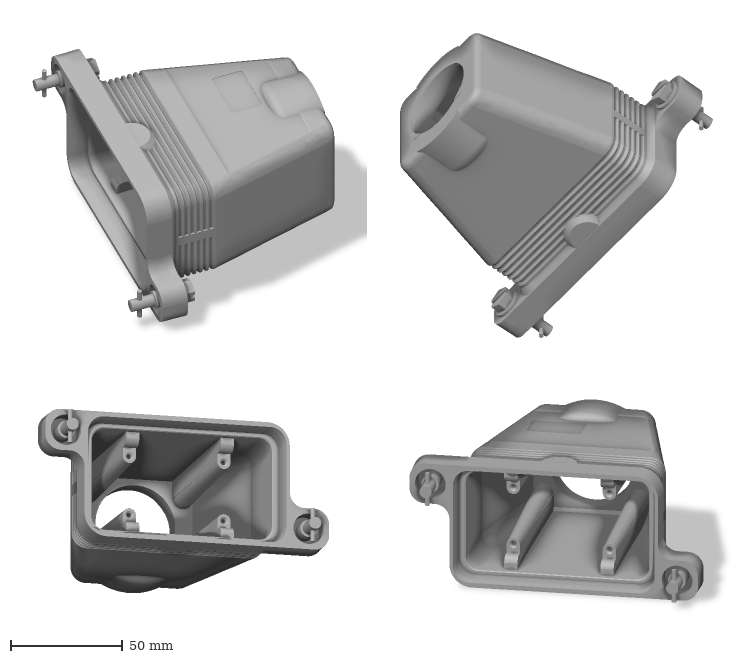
import cadquery as cq
import math

overlap = 0.7

hood_end = 99.9
hood_bend = 34.8
hood_half_x = 44.7
hood_half_z = 26.4
hood_end_half_x = 27.5
hood_corner = 6.9
hood_end_fillet = 3.2

overall_x = 132.5
flange_height = 12.2
flange_half_x = 48.0
flange_half_z = 29.0
flange_corner = 10.6
ear_corner = 7.2
ear_inner_corner = 6.6
ear_width = 19.3
flange_draft = 1.0
skirt_height = 2.8
skirt_half_x = 47.5
skirt_half_z = 28.8
skirt_corner = hood_corner + skirt_half_x - hood_half_x

groove_count = 6
groove_first = 32.6
groove_last = 17.6
groove_pitch = (groove_first - groove_last) / (groove_count - 1)
groove_width = 2.5
groove_floor_width = 0.8
groove_depth = 1.0
groove_gap = 4.8

panel_depth = 0.4
panel_start = 44.4
panel_end = 88.1
panel_step = 1.0
label_x, label_y = -11.5, 67.8
label_length, label_height = 24.9, 14.8
label_corner = 1.3
label_depth = 0.3

entry_radius = 18.5
entry_pad_x = 32.6
entry_pad_z = 28.4
entry_pad_height = 0.4
boss_radius = flange_half_z
boss_start = 76.6
boss_edge_fillet = 5.7
boss_width = 29.2

stop_radius = 8.2
stop_base_radius = 11.0
stop_top_z = 28.8
stop_base_z = stop_top_z - (stop_base_radius - stop_radius)

mouth_wall = [(0, 46.1, 26.6), (3.0, 45.6, 26.2), (5.8, 45.3, 26.0), (8.7, 44.8, 25.5)]
mouth_corner = 7.4
cavity_rim_y, cavity_rim_z = 9.3, 23.5
cavity_bend_y = 39.8
cavity_floor_y, cavity_floor_z = 90.1, 21.3
cavity_slope = (cavity_rim_z - cavity_floor_z) / (cavity_floor_y - cavity_rim_y)
cavity_bend_z = cavity_rim_z - cavity_slope * (cavity_bend_y - cavity_rim_y)
cavity_wall = [
    (mouth_wall[-1][0], 42.4, 23.8),
    (cavity_rim_y, 41.9, cavity_rim_z),
    (cavity_bend_y, 40.4, cavity_bend_z),
    (cavity_floor_y, 26.5, cavity_floor_z),
]
cavity_corner = 6.0

post_x = 22.0
post_z = 13.5
post_top = 18.3
post_top_radius = 3.0
post_base_radius = 4.6
post_web_base = 4.9
post_hole_radius = 1.0
post_sink_radius = 1.9
post_hole_depth = 10.6
tooth_top = 12.3
tooth_step = 17.5
tooth_arc_start = 16.2
tooth_arc_radius = 4.0
tooth_tip_z = 20.4

sill_height = 1.5

screw_x = 56.5
screw_z = flange_half_z - ear_width / 2
screw_recess_radius = 7.0
screw_recess_depth = 8.0
collar_radius = 4.0
collar_projection = 0.7
shaft_radius = 2.8
shaft_length = 11.8
cross_pin_radius = 1.0
cross_pin_y = -7.3
cross_pin_half_length = 7.7
washer_radius = 7.2
washer_thickness = 1.2
head_across_flats = 9.7
head_height = 4.2
head_slot = 1.6


def plane_at(y):
    """XZ plane at height y; a negative extrusion goes towards +Y."""
    return cq.Workplane("XZ", origin=(0, y, 0))


def rounded_block(y0, y1, half_x, half_z, corner):
    block = plane_at(y0).rect(2 * half_x, 2 * half_z).extrude(y0 - y1)
    return block.edges("|Y").fillet(corner)


def tapered_block(start, end, start_corner, end_corner):
    """Rounded rectangle blended between two (Y, half X, half Z) sections."""
    y0, x0, z0 = start
    y1, x1, z1 = end
    near = cq.Sketch().rect(2 * x0, 2 * z0).vertices().fillet(start_corner)
    far = cq.Sketch().rect(2 * x1, 2 * z1).vertices().fillet(end_corner)
    return plane_at(y0).placeSketch(near, far.moved(cq.Location(cq.Vector(0, 0, y0 - y1)))).loft(ruled=True)


def wall_stack(sections, corner):
    """Solid through a list of (Y, half X, half Z) sections sharing one corner radius."""
    blocks = [tapered_block(a, b, corner, corner) for a, b in zip(sections, sections[1:])]
    solid = blocks[0]
    for block in blocks[1:]:
        solid = solid.union(block)
    return solid


def rod(x, z, y0, y1, radius):
    return plane_at(y0).center(x, z).circle(radius).extrude(y0 - y1)


def both_ears(shape):
    """The part repeats after half a turn about the Y axis."""
    return shape.union(shape.rotate((0, 0, 0), (0, 1, 0), 180))


def ear():
    """Left ear, running into the main flange, with a rounded inner corner."""
    reach = overall_x / 2
    bottom = flange_half_z - ear_width
    return (
        plane_at(flange_height)
        .moveTo(0, flange_half_z)
        .lineTo(-reach + ear_corner, flange_half_z)
        .radiusArc((-reach, flange_half_z - ear_corner), -ear_corner)
        .lineTo(-reach, bottom + ear_corner)
        .radiusArc((-reach + ear_corner, bottom), -ear_corner)
        .lineTo(-flange_half_x - ear_inner_corner, bottom)
        .radiusArc((-flange_half_x, bottom - ear_inner_corner), ear_inner_corner)
        .lineTo(0, bottom - ear_inner_corner)
        .close()
        .extrude(flange_height, taper=flange_draft)
    )


def flange():
    outline = cq.Sketch().rect(2 * flange_half_x, 2 * flange_half_z).vertices().fillet(flange_corner)
    body = plane_at(flange_height).placeSketch(outline).extrude(flange_height, taper=flange_draft)
    skirt = tapered_block(
        (flange_height, skirt_half_x, skirt_half_z),
        (flange_height + skirt_height, hood_half_x, hood_half_z),
        skirt_corner,
        hood_corner,
    )
    return body.union(both_ears(ear())).union(skirt)


def hood():
    straight = rounded_block(flange_height, hood_bend, hood_half_x, hood_half_z, hood_corner)
    tapered = tapered_block(
        (hood_bend, hood_half_x, hood_half_z),
        (hood_end, hood_end_half_x, hood_half_z),
        hood_corner,
        hood_corner,
    )
    return straight.union(tapered.faces(">Y").edges().fillet(hood_end_fillet))


def grip_groove(y):
    """Trapezoidal groove around the hood, interrupted at the middle of both X sides."""
    outer = groove_width / 2
    inner = groove_floor_width / 2
    floor_x = hood_half_x - groove_depth
    floor_z = hood_half_z - groove_depth
    core = wall_stack(
        [
            (y - outer, hood_half_x, hood_half_z),
            (y - inner, floor_x, floor_z),
            (y + inner, floor_x, floor_z),
            (y + outer, hood_half_x, hood_half_z),
        ],
        hood_corner,
    )
    full_x = 2 * (hood_half_x + overlap)
    full_z = 2 * (hood_half_z + overlap)
    slab = cq.Workplane().box(full_x, groove_width, full_z).translate((0, y, 0))
    strip = cq.Workplane().box(full_x, groove_width, groove_gap).translate((0, y, 0))
    return slab.cut(core).cut(strip)


def panel_cut():
    """Shallow recess with sloping ends across the +Z side."""
    floor = hood_half_z - panel_depth
    return (
        cq.Workplane("YZ")
        .polyline(
            [
                (panel_start, floor),
                (panel_end, floor),
                (panel_end + panel_step, hood_half_z),
                (panel_start - panel_step, hood_half_z),
            ]
        )
        .close()
        .extrude(hood_half_x, both=True)
    )


def label_cut():
    floor = hood_half_z - panel_depth - label_depth
    return (
        cq.Workplane("XY", origin=(label_x, label_y, floor))
        .rect(label_length, label_height)
        .extrude(2 * label_depth)
        .edges("|Z")
        .fillet(label_corner)
    )


def entry_boss():
    """Cylinder around the cable entry that bulges out of both Z sides."""
    cylinder = rod(0, 0, boss_start, hood_end, boss_radius).faces("<Y").edges().fillet(boss_edge_fillet)
    limit = cq.Workplane().box(boss_width, 2 * hood_end, 2 * (boss_radius + overlap))
    return cylinder.intersect(limit)


def entry_pad():
    """Thin raised pad around the cable entry on the end face."""
    return plane_at(hood_end).rect(entry_pad_x, entry_pad_z).extrude(-entry_pad_height)


def stop():
    """Cone standing on the +Z side of the hood, cut off at the top of the flange."""
    height = stop_top_z - stop_base_z
    cone = cq.Solid.makeCone(
        stop_base_radius, stop_radius, height, cq.Vector(0, flange_height, stop_base_z), cq.Vector(0, 0, 1)
    )
    size = 4 * stop_base_radius
    upper_side = cq.Workplane().box(size, size, 2 * flange_half_z).translate((0, flange_height + size / 2, 0))
    return cq.Workplane(cone).intersect(upper_side)


def post(side_x, side_z):
    """Tapered screw post against the cavity wall, with a taller rounded tooth behind it."""
    height = cavity_floor_y + overlap - post_top
    wall_z = cavity_wall[0][2]
    depth = wall_z - post_z
    cone = cq.Workplane(
        cq.Solid.makeCone(
            post_top_radius, post_base_radius, height, cq.Vector(post_x, post_top, post_z), cq.Vector(0, 1, 0)
        )
    )
    web = (
        plane_at(post_top)
        .center(post_x, post_z + depth / 2)
        .rect(2 * post_top_radius, depth)
        .workplane(offset=-height)
        .rect(2 * post_web_base, depth)
        .loft(ruled=True)
    )
    tooth = (
        cq.Workplane("YZ", origin=(post_x, 0, 0))
        .moveTo(post_top, tooth_step)
        .lineTo(tooth_arc_start, tooth_step)
        .radiusArc((tooth_top, tooth_tip_z), tooth_arc_radius)
        .lineTo(tooth_top, wall_z)
        .lineTo(post_top, wall_z)
        .close()
        .extrude(post_top_radius, both=True)
    )
    hole = rod(post_x, post_z, post_top, post_top + post_hole_depth, post_hole_radius)
    sink = cq.Workplane(
        cq.Solid.makeCone(
            post_sink_radius,
            post_hole_radius,
            post_sink_radius - post_hole_radius,
            cq.Vector(post_x, post_top, post_z),
            cq.Vector(0, 1, 0),
        )
    )
    shape = cone.union(web).union(tooth).cut(hole).cut(sink)
    if side_x < 0:
        shape = shape.mirror("YZ")
    if side_z < 0:
        shape = shape.mirror("XY")
    return shape


def floor_sill():
    """Sloping strip along the -Z edge of the cavity floor, between the posts."""
    wall_z = cavity_floor_z + overlap
    back_y = cavity_floor_y + overlap
    return (
        cq.Workplane("YZ")
        .polyline(
            [
                (cavity_floor_y, sill_height - cavity_floor_z),
                (cavity_floor_y - sill_height, -cavity_floor_z),
                (cavity_floor_y - sill_height, -wall_z),
                (back_y, -wall_z),
                (back_y, sill_height - cavity_floor_z),
            ]
        )
        .close()
        .extrude(post_x, both=True)
    )


def screw():
    """Left locking screw: slotted hexagon head, washer, collar, shaft and cross pin."""
    washer_top = flange_height + washer_thickness
    head_top = washer_top + head_height
    washer = rod(-screw_x, screw_z, flange_height, washer_top, washer_radius)
    head = (
        plane_at(washer_top)
        .center(-screw_x, screw_z)
        .transformed(rotate=(0, 0, 90))
        .polygon(6, head_across_flats / math.cos(math.pi / 6))
        .extrude(-head_height)
    )
    slot = cq.Workplane().box(2 * head_across_flats, 2 * head_slot, head_slot)
    head = head.cut(slot.translate((-screw_x, head_top, screw_z)))
    collar = rod(-screw_x, screw_z, -collar_projection, flange_height, collar_radius)
    shaft = rod(-screw_x, screw_z, -shaft_length, 0, shaft_radius)
    cross_pin = (
        cq.Workplane("XY", origin=(-screw_x, cross_pin_y, screw_z))
        .circle(cross_pin_radius)
        .extrude(cross_pin_half_length, both=True)
    )
    return washer.union(head).union(collar).union(shaft).union(cross_pin)


shell = hood()
for index in range(groove_count):
    shell = shell.cut(grip_groove(groove_first - index * groove_pitch))
shell = shell.cut(panel_cut()).cut(label_cut())
shell = shell.union(entry_boss()).union(entry_pad()).union(flange())
shell = shell.union(stop()).union(stop().mirror("XY"))

shell = shell.cut(wall_stack(mouth_wall, mouth_corner))
shell = shell.cut(wall_stack(cavity_wall, cavity_corner))
for side_x in (-1, 1):
    for side_z in (-1, 1):
        shell = shell.union(post(side_x, side_z))
shell = shell.union(floor_sill())
shell = shell.cut(rod(0, 0, cavity_floor_y - sill_height, hood_end + entry_pad_height, entry_radius))

screw_recess = rod(-screw_x, screw_z, 0, screw_recess_depth, screw_recess_radius)
shell = shell.cut(both_ears(screw_recess))
result = shell.union(both_ears(screw()))